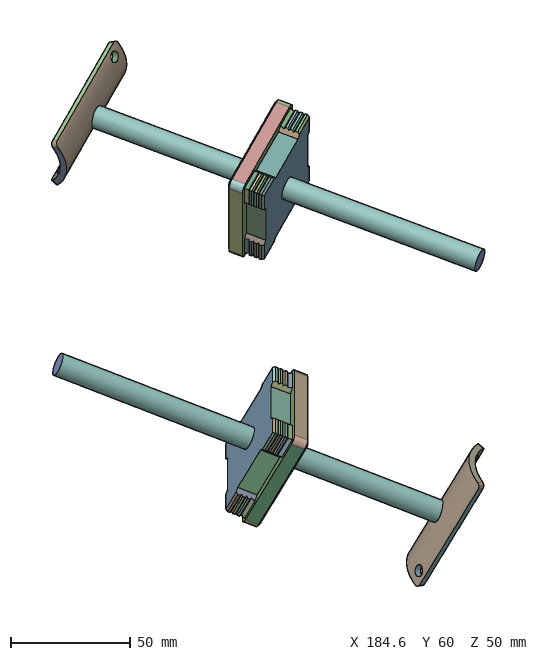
import cadquery as cq
import math

saddle_outer_radius = 24.0
saddle_thickness = 3.0
saddle_inner_radius = saddle_outer_radius - saddle_thickness
saddle_height = 30.0
saddle_length = 60.0
saddle_half_angle = math.degrees(math.asin(saddle_height / 2 / saddle_outer_radius))
saddle_corner_radius = 2.0
screw_hole_diameter = 5.0
screw_hole_offset = 24.0
screw_hole_angle = 28.0

overall_length = 184.56
rod_diameter = 10.0
saddle_edge_x = saddle_inner_radius * math.cos(math.radians(saddle_half_angle))
rod_end_x = saddle_edge_x + overall_length

flange_size = 50.0
flange_setback = 79.4
flange_x = saddle_edge_x + flange_setback
flange_thickness = 7.0
flange_corner_radius = 3.0
chamfer_depth = 0.9
chamfer_inset = 1.4
plug_x = flange_x + flange_thickness
plug_length = 9.0
plug_size = 42.0
pad_size = 46.0
pad_rise = (pad_size - plug_size) / 2
pad_inner_edge = 11.0

groove_depth = 0.5
groove_descent = 0.7
groove_ascent = 0.45
groove_count = 4
groove_pitch = plug_length / groove_count
first_root_offset = 1.85
first_root_x = plug_x + first_root_offset
run_out_x = first_root_x - groove_descent + (groove_count - 1) * groove_pitch


def at(radius, angle):
    """X and Z of a point on a circle about the saddle axis, the angle measured from +X."""
    turn = math.radians(angle)
    return radius * math.cos(turn), radius * math.sin(turn)


def round_corners(strip):
    """Round the four saddle corners, at the short straight edges across the thickness."""
    corners = [edge for edge in strip.edges("%LINE").vals() if edge.Length() < 2 * saddle_thickness]
    return strip.newObject(corners).fillet(saddle_corner_radius)


def make_screw_drill(side):
    """Radial cylinder through the saddle, on the +Y +Z corner (side 1) or the -Y -Z corner (side -1)."""
    along_x, along_z = at(1, side * screw_hole_angle)
    axis = cq.Vector(along_x, 0, along_z)
    start = cq.Vector(0, side * screw_hole_offset, 0)
    reach = saddle_outer_radius + saddle_thickness
    drill = cq.Solid.makeCylinder(screw_hole_diameter / 2, reach, start, axis)
    return cq.Workplane(drill)


def make_saddle():
    """Curved strip with radial ends, rounded corners and two screw holes at opposite corners."""
    strip = (
        cq.Workplane("XZ")
        .moveTo(*at(saddle_inner_radius, -saddle_half_angle))
        .threePointArc(at(saddle_inner_radius, 0), at(saddle_inner_radius, saddle_half_angle))
        .lineTo(*at(saddle_outer_radius, saddle_half_angle))
        .threePointArc(at(saddle_outer_radius, 0), at(saddle_outer_radius, -saddle_half_angle))
        .close()
        .extrude(saddle_length / 2, both=True)
    )
    strip = round_corners(strip)
    for side in (1, -1):
        strip = strip.cut(make_screw_drill(side))
    return strip


def make_rod():
    """Rod from the saddle's convex face, through the cap, to the far end."""
    rod = cq.Workplane("YZ").circle(rod_diameter / 2).extrude(rod_end_x)
    saddle_envelope = cq.Workplane("XZ").circle(saddle_outer_radius).extrude(saddle_length / 2, both=True)
    return rod.cut(saddle_envelope)


def square_bar(x, size, length):
    """Square bar centred on the rod axis, running from x toward +X."""
    return cq.Workplane("YZ", origin=(x, 0, 0)).rect(size, size).extrude(length)


def make_relief():
    """Tapered channel that lowers the middle of one plug side between its two corner pads."""
    return (
        cq.Workplane("YZ", origin=(plug_x, 0, 0))
        .moveTo(-pad_inner_edge, plug_size / 2)
        .lineTo(pad_inner_edge, plug_size / 2)
        .lineTo(pad_inner_edge + pad_rise, pad_size / 2)
        .lineTo(-pad_inner_edge - pad_rise, pad_size / 2)
        .close()
        .extrude(plug_length)
    )


def make_groove(start_x, root_x, end_x):
    """Groove along one plug side: the surface falls from the start to the root and climbs to the end."""
    top = pad_size / 2
    return (
        cq.Workplane("XZ")
        .moveTo(start_x, top)
        .lineTo(end_x, top)
        .lineTo(root_x, top - groove_depth)
        .close()
        .extrude(top, both=True)
    )


def make_grooves():
    """All grooves of one plug side, from the flange to the free end."""
    grooves = [make_groove(plug_x, first_root_x, first_root_x + groove_ascent)]
    for i in range(1, groove_count - 1):
        root_x = first_root_x + i * groove_pitch
        grooves.append(make_groove(root_x - groove_descent, root_x, root_x + groove_ascent))
    plug_end_x = plug_x + plug_length
    grooves.append(make_groove(run_out_x, plug_end_x, plug_end_x))
    return grooves


def make_cap():
    """Chamfered flange and ribbed plug, bored for the rod."""
    flange = square_bar(flange_x, flange_size, flange_thickness)
    flange = flange.edges("|X").fillet(flange_corner_radius)
    flange = flange.faces("<X").edges().chamfer(chamfer_depth, chamfer_inset)
    plug = square_bar(plug_x, pad_size, plug_length)
    cutters = [make_relief(), *make_grooves()]
    for quarter in range(4):
        for cutter in cutters:
            plug = plug.cut(cutter.rotate((0, 0, 0), (1, 0, 0), 90 * quarter))
    cap = flange.union(plug)
    bore = cq.Workplane("YZ").circle(rod_diameter / 2).extrude(rod_end_x)
    return cap.cut(bore)


saddle = make_saddle()
rod = make_rod()
cap = make_cap()
result = cq.Compound.makeCompound([saddle.val(), rod.val(), cap.val()])